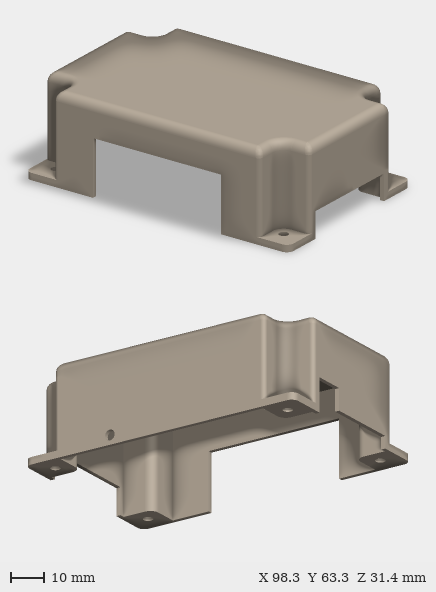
import cadquery as cq

length = 98.3
width = 63.3
height = 31.4
wall = 1.5
top_thickness = 1.5

hole_inset = 6.7
recess_radius = 4.0
recess_depth = hole_inset + recess_radius
inner_recess_radius = 2.9
edge_radius = 1.5
top_radius = 2.9
tab_thickness = 2.5
tab_corner_radius = 2.5
tab_hole_diameter = 3.2

front_opening_length = 47.7
front_opening_height = 19.7
end_opening_width = 35.4
left_opening_height = 4.1
left_notch_width = 10.5
left_notch_height = 11.5
right_opening_height = 9.1
rear_hole_diameter = 3.5
rear_hole_x = 18.1
rear_hole_z = 3.1

corner_signs = [(sx, sy) for sx in (-1, 1) for sy in (-1, 1)]


def block(size_x, size_y, size_z, x=0.0, y=0.0):
    """Box centred on (x, y) that stands on Z = 0."""
    return cq.Workplane("XY").box(size_x, size_y, size_z, centered=(True, True, False)).translate((x, y, 0))


def recessed_block(block_length, block_width, block_height, corner_depth, corner_radius):
    """Block whose four vertical corners are cut away by square recesses with a rounded inner edge."""
    body = block(block_length, block_width, block_height)
    for sx, sy in corner_signs:
        cutter = block(
            2 * corner_depth, 2 * corner_depth, block_height, sx * block_length / 2, sy * block_width / 2
        )
        body = body.cut(cutter.edges("|Z").fillet(corner_radius))
    return body


def recess_rim_edges(body):
    """Vertical edges where the recesses meet the outer side faces."""
    outer_sides = body.faces("<X or >X or <Y or >Y")
    return outer_sides.edges("|Z")


def make_shell():
    outer = recessed_block(length, width, height, recess_depth, recess_radius)
    outer = recess_rim_edges(outer).fillet(edge_radius)
    outer = outer.faces(">Z").edges().fillet(top_radius)
    cavity = recessed_block(
        length - 2 * wall, width - 2 * wall, height - top_thickness, recess_depth, inner_recess_radius
    )
    return outer.cut(cavity)


def make_tabs():
    plate = block(length, width, tab_thickness).edges("|Z").fillet(tab_corner_radius)
    inside = recessed_block(
        length - 2 * wall, width - 2 * wall, tab_thickness, recess_depth, inner_recess_radius
    )
    hole_points = [(sx * (length / 2 - hole_inset), sy * (width / 2 - hole_inset)) for sx, sy in corner_signs]
    holes = cq.Workplane("XY").pushPoints(hole_points).circle(tab_hole_diameter / 2).extrude(tab_thickness)
    return plate.cut(inside).cut(holes)


def cut_openings(body):
    front = block(front_opening_length, 2 * wall, front_opening_height, y=-width / 2)
    left = block(2 * wall, end_opening_width, left_opening_height, x=-length / 2)
    left_notch = block(
        2 * wall,
        left_notch_width,
        left_notch_height,
        x=-length / 2,
        y=(end_opening_width - left_notch_width) / 2,
    )
    right = block(2 * wall, end_opening_width, right_opening_height, x=length / 2)
    rear_hole = (
        cq.Workplane("XZ", origin=(rear_hole_x, width / 2, rear_hole_z))
        .circle(rear_hole_diameter / 2)
        .extrude(wall, both=True)
    )
    for cutter in (front, left, left_notch, right, rear_hole):
        body = body.cut(cutter)
    return body


result = cut_openings(make_shell().union(make_tabs()))